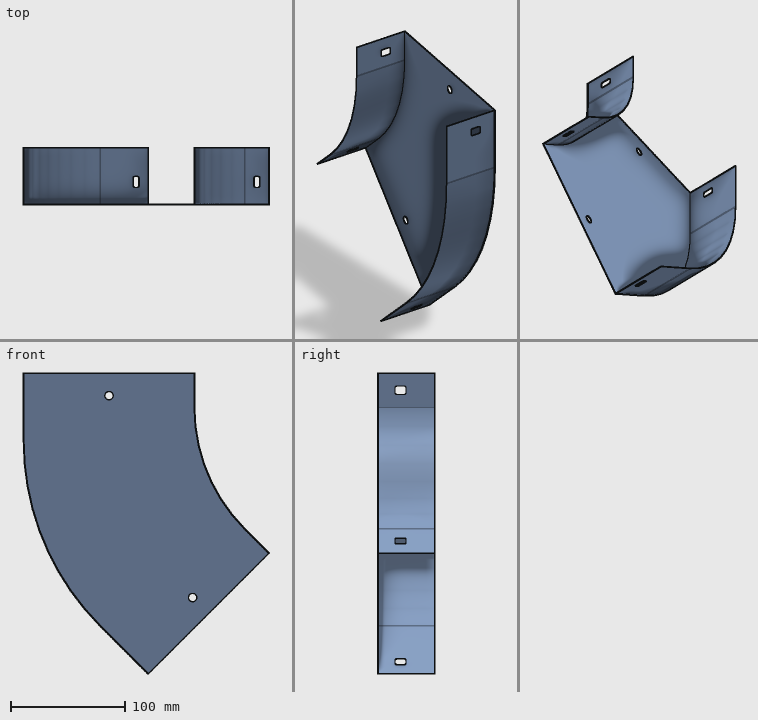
import cadquery as cq
import math

overall_height = 263.4
channel_width = 150.0
channel_depth = 50.0
sheet = 0.8
bend_angle = 45.0

outer_straight = 59.5
inner_straight = 30.0

hole_diameter = 7.0
hole_from_end = 19.8
slot_from_end = 15.0
slot_from_base = 20.0
slot_length = 9.5
slot_width = 7.0
slot_corner = 1.5
slot_cutter_depth = 4 * sheet

half_tangent = math.tan(math.radians(bend_angle / 2))
bend_sin = math.sin(math.radians(bend_angle))
bend_cos = math.cos(math.radians(bend_angle))

corner_length = overall_height / (1 + bend_cos)


def end_point(across, along, lower):
    """Point (X, Z) measured from the outer corner of an end, across and into the channel."""
    if not lower:
        return across, -along
    tip_x = corner_length * bend_sin
    tip_z = -overall_height
    return (
        tip_x + across * bend_cos - along * bend_sin,
        tip_z + across * bend_sin + along * bend_cos,
    )


def arc_middle(across, straight):
    """Middle of the arc that starts after the straight stretch of an edge."""
    radius = (corner_length - across * half_tangent - straight) / half_tangent
    half_angle = math.radians(bend_angle / 2)
    return (
        across + radius * (1 - math.cos(half_angle)),
        -straight - radius * math.sin(half_angle),
    )


def channel_outline(inset, depth):
    """Solid bend, its two curved edges moved inward by the inset."""
    left = inset
    right = channel_width - inset
    return (
        cq.Workplane("XZ")
        .moveTo(*end_point(left, 0, False))
        .lineTo(*end_point(left, outer_straight, False))
        .threePointArc(arc_middle(left, outer_straight), end_point(left, outer_straight, True))
        .lineTo(*end_point(left, 0, True))
        .lineTo(*end_point(right, 0, True))
        .lineTo(*end_point(right, inner_straight, True))
        .threePointArc(arc_middle(right, inner_straight), end_point(right, inner_straight, False))
        .lineTo(*end_point(right, 0, False))
        .close()
        .extrude(-depth)
    )


def base_hole(lower):
    """Round hole through the base, midway across an end."""
    x, z = end_point(channel_width / 2, hole_from_end, lower)
    return cq.Workplane("XZ").center(x, z).circle(hole_diameter / 2).extrude(-sheet)


def wall_slot(across, lower):
    """Rounded slot through one side wall, long along the wall height."""
    x, z = end_point(across, slot_from_end, lower)
    cutter = cq.Workplane("XY").box(slot_cutter_depth, slot_length, slot_width)
    cutter = cutter.edges("|X").fillet(slot_corner)
    if lower:
        cutter = cutter.rotate((0, 0, 0), (0, 1, 0), -bend_angle)
    return cutter.translate((x, slot_from_base, z))


result = channel_outline(0, channel_depth).cut(
    channel_outline(sheet, channel_depth).translate((0, sheet, 0))
)

for lower in (False, True):
    result = result.cut(base_hole(lower))
    for wall_middle in (sheet / 2, channel_width - sheet / 2):
        result = result.cut(wall_slot(wall_middle, lower))